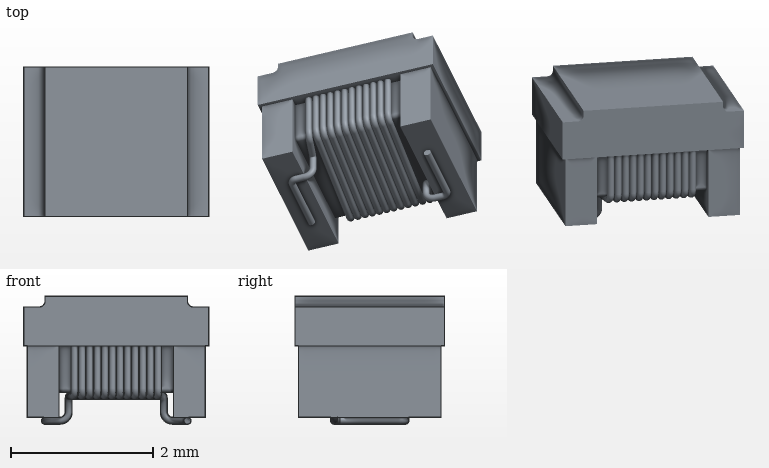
import cadquery as cq

length = 2.6
width = 2.1
height = 1.8

cap_height = 0.7
step_depth = 0.15
step_length = 0.3
step_fillet = 0.08

wire_diameter = 0.1
wire_radius = wire_diameter / 2
wire_seat = 0.0013
standoff = wire_radius - wire_seat

leg_inset = 0.05
leg_length = 0.45
leg_span = length - 2 * leg_inset
leg_width = width - 2 * leg_inset
leg_bottom = wire_diameter - wire_seat
cap_bottom = height - cap_height

core_height = 0.655
core_width = 1.75
core_fillet = 0.055
core_bottom = cap_bottom - core_height

turn_count = 12
turn_pitch = 0.107
coil_y = core_width / 2 + standoff
coil_z = core_bottom - standoff
coil_bend = core_fillet + standoff
coil_top = cap_bottom + wire_diameter

lead_y = 0.5
lead_tip_y = 0.42
lead_inner_x = 0.668
lead_outer_x = 1.0
lead_z = wire_radius
lead_top_bend = 0.06
lead_foot_bend = 0.125
lead_side_bend = 0.08


def make_cap():
    """Block with a filleted step along both ends of its top."""
    cap = cq.Workplane("XY").box(length, width, cap_height, centered=(True, True, False))
    cap = cap.translate((0, 0, cap_bottom))
    for side in (-1, 1):
        step = (
            cq.Workplane("XY")
            .box(2 * step_length, 2 * width, 2 * step_depth)
            .edges("|Y").fillet(step_fillet)
            .translate((side * length / 2, 0, height))
        )
        cap = cap.cut(step)
    return cap


def make_leg(side):
    leg_x = side * (leg_span - leg_length) / 2
    leg_height = cap_bottom - leg_bottom
    leg = cq.Workplane("XY").box(leg_length, leg_width, leg_height, centered=(True, True, False))
    return leg.translate((leg_x, 0, leg_bottom))


def make_core():
    """Bar from leg to leg with rounded lower edges."""
    core_length = leg_span - 2 * leg_length
    core = cq.Workplane("XY").box(core_length, core_width, core_height, centered=(True, True, False))
    core = core.edges("|X and <Z").fillet(core_fillet)
    return core.translate((0, 0, core_bottom))


def bent_wire(corners, bend_radii):
    """Round wire through the corners, with a right-angle bend at each inner one."""
    points = [cq.Vector(*corner) for corner in corners]
    edges = []
    start = points[0]
    for before, corner, after, radius in zip(points, points[1:], points[2:], bend_radii):
        back = (before - corner).normalized() * radius
        ahead = (after - corner).normalized() * radius
        centre = corner + back + ahead
        middle = centre + (corner - centre).normalized() * radius
        edges.append(cq.Edge.makeLine(start, corner + back))
        edges.append(cq.Edge.makeThreePointArc(corner + back, middle, corner + ahead))
        start = corner + ahead
    edges.append(cq.Edge.makeLine(start, points[-1]))

    path = cq.Workplane(cq.Wire.assembleEdges(edges))
    end_plane = cq.Plane(origin=points[0], normal=points[1] - points[0])
    return cq.Workplane(end_plane).circle(wire_radius).sweep(path)


def make_turn(x):
    """Front strand, slanting run under the core, and back strand one pitch to the left."""
    front_x = x + turn_pitch / 2
    back_x = x - turn_pitch / 2
    corners = [
        (front_x, -coil_y, coil_top),
        (front_x, -coil_y, coil_z),
        (back_x, coil_y, coil_z),
        (back_x, coil_y, coil_top),
    ]
    return bent_wire(corners, [coil_bend, coil_bend])


def make_left_lead():
    """First front strand, continued under the core, down and round under the left leg."""
    strand_x = -(turn_count - 1) / 2 * turn_pitch
    corners = [
        (strand_x, -coil_y, coil_top),
        (strand_x, -coil_y, coil_z),
        (-lead_inner_x, -lead_y, coil_z),
        (-lead_inner_x, -lead_y, lead_z),
        (-lead_outer_x, -lead_y, lead_z),
        (-lead_outer_x, lead_tip_y, lead_z),
    ]
    return bent_wire(corners, [coil_bend, lead_top_bend, lead_foot_bend, lead_side_bend])


result = make_cap().union(make_core())
for side in (-1, 1):
    result = result.union(make_leg(side))

for index in range(turn_count - 1):
    turn_x = (index - (turn_count - 2) / 2) * turn_pitch
    result = result.union(make_turn(turn_x))

left_lead = make_left_lead()
right_lead = left_lead.rotate((0, 0, 0), (0, 0, 1), 180)
result = result.union(left_lead).union(right_lead)